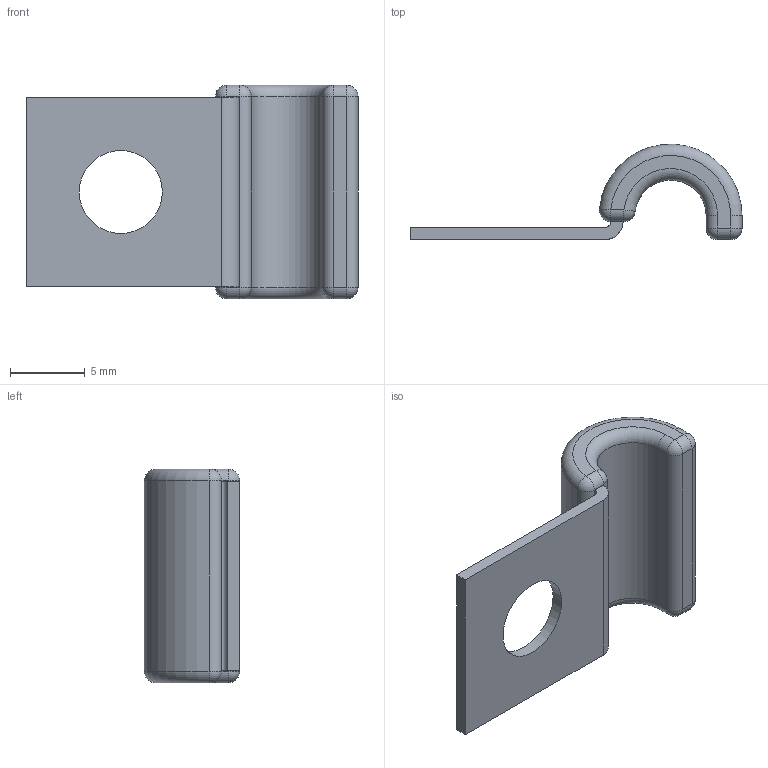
import cadquery as cq
import math

total_length = 22.225
strap_thickness = 0.8128
strap_height = 12.7
hole_diameter = 5.556
hole_center_x = 6.35

cushion_thickness = 0.79375
cushion_height = strap_height + 2 * cushion_thickness
edge_radius = 0.762
hook_inner_radius = 2.38125
hook_wall = strap_thickness + 2 * cushion_thickness
hook_outer_radius = hook_inner_radius + hook_wall
hook_center_x = total_length - hook_outer_radius
hook_center_y = 1.6

bend_inner_radius = 0.4
bend_outer_radius = bend_inner_radius + strap_thickness
neck_outer_x = hook_center_x - hook_inner_radius - cushion_thickness
bend_center_x = neck_outer_x - bend_outer_radius
bend_center_y = bend_outer_radius


def extrude_about_mid_height(profile, height):
    """Extrude a closed XY profile equally above and below Z = 0."""
    return profile.extrude(height / 2, both=True)


def point_on_bend(radius):
    """Middle point of a quarter-turn bend that runs from -Y round to +X."""
    offset = radius * math.sqrt(0.5)
    return (bend_center_x + offset, bend_center_y - offset)


def make_strap():
    """Flat strap with its bent neck and the mounting hole."""
    profile = (
        cq.Workplane("XY")
        .moveTo(0, 0)
        .lineTo(bend_center_x, 0)
        .threePointArc(point_on_bend(bend_outer_radius), (neck_outer_x, bend_center_y))
        .lineTo(neck_outer_x - strap_thickness, bend_center_y)
        .threePointArc(point_on_bend(bend_inner_radius), (bend_center_x, strap_thickness))
        .lineTo(0, strap_thickness)
        .close()
    )
    hole_profile = (
        cq.Workplane("XZ")
        .center(hole_center_x, 0)
        .circle(hole_diameter / 2)
    )
    hole = hole_profile.extrude(-strap_thickness)
    return extrude_about_mid_height(profile, strap_height).cut(hole)


def make_cushion():
    """Rounded hook: an arc ending on the neck, with a straight leg down to Y = 0."""
    end_drop = hook_center_y - bend_center_y
    outer_start_x = hook_center_x - math.sqrt(hook_outer_radius**2 - end_drop**2)
    inner_start_x = hook_center_x - math.sqrt(hook_inner_radius**2 - end_drop**2)
    profile = (
        cq.Workplane("XY")
        .moveTo(outer_start_x, bend_center_y)
        .threePointArc(
            (hook_center_x, hook_center_y + hook_outer_radius),
            (hook_center_x + hook_outer_radius, hook_center_y),
        )
        .lineTo(hook_center_x + hook_outer_radius, 0)
        .lineTo(hook_center_x + hook_inner_radius, 0)
        .lineTo(hook_center_x + hook_inner_radius, hook_center_y)
        .threePointArc(
            (hook_center_x, hook_center_y + hook_inner_radius),
            (inner_start_x, bend_center_y),
        )
        .close()
    )
    block = extrude_about_mid_height(profile, cushion_height)
    corner_points = [
        (outer_start_x, bend_center_y, 0),
        (inner_start_x, bend_center_y, 0),
        (hook_center_x + hook_outer_radius, 0, 0),
        (hook_center_x + hook_inner_radius, 0, 0),
    ]
    rounded = block
    for corner in corner_points:
        rounded = rounded.edges(cq.NearestToPointSelector(corner)).fillet(edge_radius)
    return rounded.faces("<Z or >Z").edges().fillet(edge_radius)


result = make_strap().union(make_cushion())